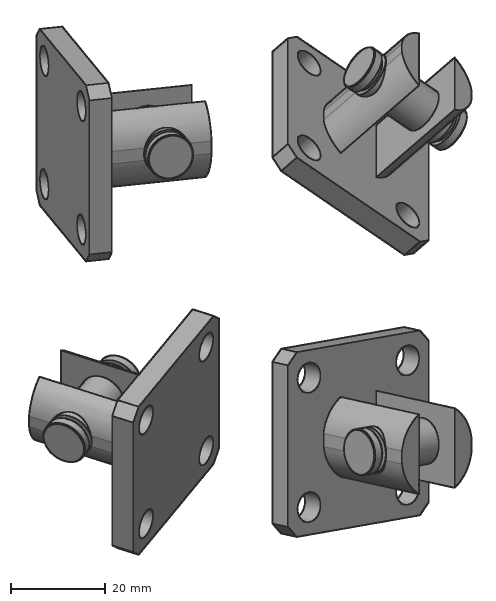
import cadquery as cq

plate_side = 40.0
plate_thickness = 5.0
corner_chamfer = 2.5
hole_diameter = 6.5
hole_spacing = 28.0

ear_radius = 10.0
ear_length = 25.0
ear_gap = 10.1
ear_flat_width = 19.8

pin_diameter = 10.0
pin_length = 26.4
pin_setback = 10.0
pin_axis_y = plate_thickness + ear_length - pin_setback
pin_end_chamfer = 0.2
groove_diameter = 8.0
groove_width = 1.05
groove_end_distance = 2.1


def pin_cylinder(diameter, length, center_x=0.0):
    """Cylinder on the pin axis, centred at center_x."""
    return (
        cq.Workplane("YZ", origin=(center_x - length / 2, pin_axis_y, 0))
        .circle(diameter / 2)
        .extrude(length)
    )


def make_plate():
    """Square plate with chamfered corners and four through holes."""
    plate = (
        cq.Workplane("XY")
        .box(plate_side, plate_thickness, plate_side, centered=(True, False, True))
        .edges("|Y")
        .chamfer(corner_chamfer)
    )
    holes = (
        cq.Workplane("XZ")
        .rarray(hole_spacing, hole_spacing, 2, 2)
        .circle(hole_diameter / 2)
        .extrude(-plate_thickness)
    )
    return plate.cut(holes)


def make_ears():
    """Round bar with outer flats, slotted into two ears and bored for the pin."""
    bar = cq.Workplane("XZ", origin=(0, plate_thickness, 0)).circle(ear_radius).extrude(-ear_length)
    bar_diameter = 2 * ear_radius
    flats = cq.Workplane("XY", origin=(0, plate_thickness, 0)).box(
        ear_flat_width, ear_length, bar_diameter, centered=(True, False, True)
    )
    slot = cq.Workplane("XY", origin=(0, plate_thickness, 0)).box(
        ear_gap, ear_length, bar_diameter, centered=(True, False, True)
    )
    return bar.intersect(flats).cut(slot).cut(pin_cylinder(pin_diameter, pin_length))


def make_bracket():
    """Plate and ears in one piece."""
    return make_plate().union(make_ears())


def make_pin():
    """Pin with chamfered ends and a retaining groove near each end."""
    pin = pin_cylinder(pin_diameter, pin_length).faces("<X or >X").chamfer(pin_end_chamfer)
    groove_x = pin_length / 2 - groove_end_distance - groove_width / 2
    for side in (-1, 1):
        ring = pin_cylinder(pin_diameter, groove_width, side * groove_x).cut(
            pin_cylinder(groove_diameter, groove_width, side * groove_x)
        )
        pin = pin.cut(ring)
    return pin


bracket = make_bracket()
pin = make_pin()

result = cq.Compound.makeCompound([*bracket.solids().vals(), *pin.solids().vals()])